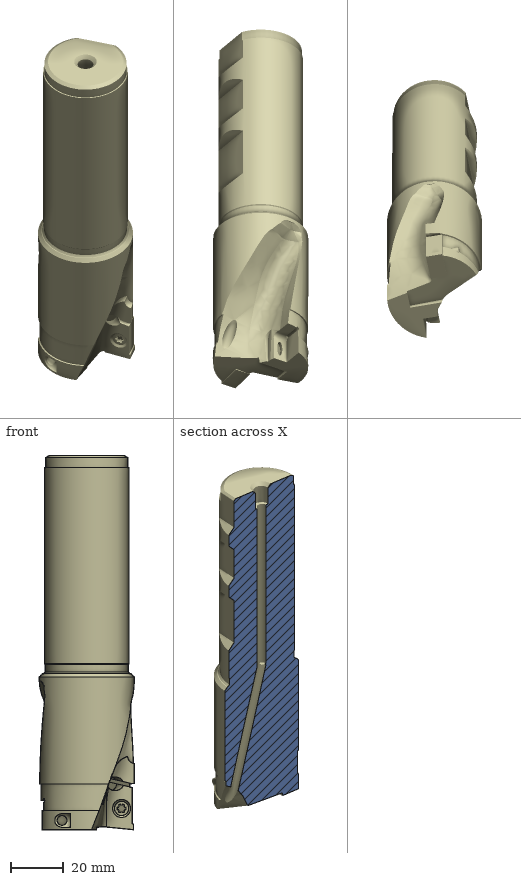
import cadquery as cq
import math

LENGTH = 141.4
BODY_RADIUS = 18.0
OVERCUT = 1.4
WAIST_RADIUS = 17.4
SHANK_RADIUS = 16.0
NECK_RADIUS = 15.7
PILOT_RADIUS = 15.5
SEAM_ANGLE = 90

WAIST_BOTTOM = 7.2
WAIST_TOP = 17.3
BODY_TOP = 59.0
BODY_CHAMFER = 1.3
NECK_FLARE = 0.7
SHANK_BOTTOM = 62.8
SHANK_CHAMFER = NECK_FLARE / 2
PILOT_LENGTH = 4.7
END_CHAMFER_HEIGHT = 0.8
END_CHAMFER_WIDTH = 1.4

FLAT_Y = 13.5
FLAT_BOTTOM = 77.5
LAND_CENTERS = (101.2, 123.9)
LAND_CREST = 5.0

BORE_RADIUS = 3.0
BORE_DEPTH = 8.5
BORE_MOUTH_RADIUS = 4.2
COOLANT_RADIUS = 2.1
COOLANT_X = -0.5
COOLANT_BEND = 62.2
COOLANT_EXIT = (0.7, 13.7, 10.2)

WIDE_FLUTE = [
    (-8.5, -0.7, 121, -3.4, -0.5, 13.5),
    (1.4, -0.8, 108, -3.7, -0.7, 12.2),
    (11.3, -1.1, 96, -4.2, -1.0, 10.9),
    (21.2, -2.5, 80, -4.8, -1.4, 8.9),
    (31.1, -4.4, 59, -5.2, -2.8, 7.8),
    (41.0, -6.5, 40, -7.4, -4.2, 7.0),
    (50.9, -8.5, 18.5, -12.0, -4.1, 6.2),
]
WIDE_RUNOUT = [
    (54.3, -7.9, 7.7, -15.3, -4.0, 2.8),
    (56.3, -4.8, 0, -17.4, -2.5, 0.5),
]
NARROW_FLUTE = [
    (-8.5, -0.7, 93, -5.7, -0.5, 2.1),
    (1.4, -0.7, 82.5, -6.2, -0.5, 2.1),
    (11.3, -1.1, 70, -7.0, -1.0, 2.8),
    (21.2, -2.5, 57, -7.0, -1.4, 5.0),
    (31.1, -4.4, 42, -6.8, -2.8, 6.4),
    (41.0, -6.2, 28, -10.2, -3.7, 5.7),
    (50.9, -6.5, 13, -14.7, -2.5, 3.4),
]
NARROW_RUNOUT = [
    (54.3, -5.1, 5.0, -16.7, -2.0, 1.4),
    (55.7, -3.4, 1.0, -17.5, -1.4, 0.4),
]
FLUTE_OVERSHOOT = 1.6

INSERT_THICKNESS = 6.2
INSERT_INNER_X = 7.5
INSERT_EDGE_X = 17.3
INSERT_TIP_X = 17.7
INSERT_TIP_HEIGHT = 2.3
INSERT_OUTER_TOP = 16.0
INSERT_INNER_TOP = 18.2
INSERT_GAP = 1.4
INSERT_BOTTOM_RISE = 1.0
OUTLET_X = 10.7
OUTLET_Z = 17.4
OUTLET_RADIUS = 2.5
OUTLET_DEPTH = 2.8
OUTLET_ANGLE = 55
SCREW_X = 13.2
SCREW_Z = 8.0
COUNTERSINK_RADIUS = 3.4
SCREW_HEAD_RADIUS = 2.7
SCREW_HEAD_TOP = COUNTERSINK_RADIUS - SCREW_HEAD_RADIUS
SCREW_RADIUS = 1.7
SCREW_LENGTH = 12.0
SOCKET_RADIUS = 1.3
SOCKET_LOBES = 6
SOCKET_LOBE_RADIUS = 0.4
SOCKET_DEPTH = 1.7

SEAT_INNER_POINT = (10.2, 22.0)
SEAT_CREST_BULGE = (12.5, 26.0)
SEAT_CREST = (15.4, 27.7)
SEAT_SHOULDER_BULGE = (16.4, 25.7)
SEAT_SHOULDER = (BODY_RADIUS, 25.0)

POCKET_INNER_X = 8.5
POCKET_DEPTH = 6.2
POCKET_HEIGHT = 11.0
POCKET_FILLET = 1.7
POCKET_CORNER_RELIEF = 0.7
POCKET_SLOT_Z = 5.1
POCKET_SLOT_WIDTH = 2.3
POCKET_SLOT_HEIGHT = 6.0
POCKET_SLOT_DEPTH = 1.4

GASH_INNER_X = 5.1
GASH_WIDTH = 5.4
GASH_HEIGHT = 13.6
GASH_FILLET = 4.2

RECESS_RADIUS = 2.7
RECESS_X = -6.2
RECESS_Y = -16.0
RECESS_Z = 3.5
RECESS_HOLE_X = -9.3
RECESS_HOLE_RADIUS = 1.8
RECESS_HOLE_DEPTH = 5.7

END_RELIEF_RISE = 3.1
END_RELIEF_REACH = 28.3
END_RELIEF_TURN = -26
END_RELIEF_LEFT = -2.8
END_RELIEF_FRONT = -9.9


def unit(vector):
    size = math.hypot(*vector)
    return (vector[0] / size, vector[1] / size)


def turned_blank():
    pilot_bottom = LENGTH - PILOT_LENGTH
    outline = [
        (0, 0),
        (BODY_RADIUS, 0),
        (BODY_RADIUS, WAIST_BOTTOM),
        (WAIST_RADIUS, WAIST_BOTTOM),
        (WAIST_RADIUS, WAIST_TOP),
        (BODY_RADIUS, WAIST_TOP),
        (BODY_RADIUS, BODY_TOP - BODY_CHAMFER),
        (BODY_RADIUS - BODY_CHAMFER, BODY_TOP),
        (NECK_RADIUS + NECK_FLARE, BODY_TOP),
        (NECK_RADIUS, BODY_TOP + NECK_FLARE),
        (NECK_RADIUS, SHANK_BOTTOM - SHANK_CHAMFER),
        (SHANK_RADIUS, SHANK_BOTTOM),
        (SHANK_RADIUS, pilot_bottom),
        (PILOT_RADIUS, pilot_bottom),
        (PILOT_RADIUS, LENGTH - END_CHAMFER_HEIGHT),
        (PILOT_RADIUS - END_CHAMFER_WIDTH, LENGTH),
        (0, LENGTH),
    ]
    blank = cq.Workplane("XZ").polyline(outline).close().revolve(360, (0, 0, 0), (0, 1, 0))
    return blank.rotate((0, 0, 0), (0, 0, 1), SEAM_ANGLE)


def clamping_flat():
    """Material above the flat, with 45 degree flanks on each standing land."""
    depth = SHANK_RADIUS - FLAT_Y
    chamfer_y = FLAT_Y - END_CHAMFER_HEIGHT
    outline = [(SHANK_RADIUS, FLAT_BOTTOM - depth), (FLAT_Y, FLAT_BOTTOM)]
    for center in LAND_CENTERS:
        crest = LAND_CREST / 2
        outline += [
            (FLAT_Y, center - crest - depth),
            (SHANK_RADIUS, center - crest),
            (SHANK_RADIUS, center + crest),
            (FLAT_Y, center + crest + depth),
        ]
    outline += [
        (FLAT_Y, LENGTH - END_CHAMFER_HEIGHT),
        (chamfer_y, LENGTH),
        (BODY_RADIUS, LENGTH),
        (BODY_RADIUS, FLAT_BOTTOM - depth),
    ]
    return cq.Workplane("YZ").polyline(outline).close().extrude(BODY_RADIUS, both=True)


def coolant_bore():
    mouth = BORE_MOUTH_RADIUS - BORE_RADIUS
    outline = [
        (0, LENGTH),
        (BORE_MOUTH_RADIUS, LENGTH),
        (BORE_RADIUS, LENGTH - mouth),
        (BORE_RADIUS, LENGTH - BORE_DEPTH),
        (0, LENGTH - BORE_DEPTH),
    ]
    bore = cq.Workplane("XZ").polyline(outline).close().revolve(360, (0, 0, 0), (0, 1, 0))
    bend = cq.Vector(COOLANT_X, 0, COOLANT_BEND)
    branch = cq.Solid.makeCylinder(COOLANT_RADIUS, LENGTH, bend, cq.Vector(*COOLANT_EXIT) - bend)
    trunk = cq.Solid.makeCylinder(COOLANT_RADIUS, LENGTH - COOLANT_BEND - BORE_DEPTH / 2, bend)
    return bore.union(cq.Workplane(trunk)).union(cq.Workplane(branch))


def flute_section(z, rake_y, wall_angle, corner_x, corner_y, corner_radius):
    """Closed wire: rake line, round corner and wall line, closed outside the body."""
    wall_turn = math.radians(wall_angle)
    rake_edge = (-math.sqrt(BODY_RADIUS**2 - rake_y**2), rake_y)
    wall_edge = (-BODY_RADIUS * math.cos(wall_turn), BODY_RADIUS * math.sin(wall_turn))
    corner = (corner_x, corner_y)
    to_rake = (rake_edge[0] - corner_x, rake_edge[1] - corner_y)
    to_wall = (wall_edge[0] - corner_x, wall_edge[1] - corner_y)
    rake_unit = unit(to_rake)
    wall_unit = unit(to_wall)
    bisector = unit((rake_unit[0] + wall_unit[0], rake_unit[1] + wall_unit[1]))
    half_angle = math.acos(rake_unit[0] * bisector[0] + rake_unit[1] * bisector[1])
    setback = corner_radius / math.tan(half_angle)
    arc_middle = corner_radius / math.sin(half_angle) - corner_radius

    def from_corner(direction, distance):
        return (corner[0] + direction[0] * distance, corner[1] + direction[1] * distance)

    side = FLUTE_OVERSHOOT * BODY_RADIUS
    return (
        cq.Workplane("XY", origin=(0, 0, z))
        .moveTo(*from_corner(rake_unit, side))
        .lineTo(*from_corner(rake_unit, setback))
        .threePointArc(from_corner(bisector, arc_middle), from_corner(wall_unit, setback))
        .lineTo(*from_corner(wall_unit, side))
        .lineTo(*from_corner(bisector, 2 * side))
        .close()
        .val()
    )


def flute(stations, runout_stations):
    """Smooth sweep of the sections, then a straight-sided runout to the body surface."""
    main = [flute_section(*station) for station in stations]
    runout = [flute_section(*station) for station in stations[-1:] + runout_stations]
    return [cq.Workplane(cq.Solid.makeLoft(main)), cq.Workplane(cq.Solid.makeLoft(runout, True))]


def insert_seat():
    """Flat-faced block at Y >= 0 that the narrow flute leaves standing around the insert."""
    outer_x = 2 * BODY_RADIUS
    return (
        cq.Workplane("XZ")
        .moveTo(INSERT_INNER_X, -OVERCUT)
        .lineTo(INSERT_INNER_X, WAIST_TOP)
        .lineTo(*SEAT_INNER_POINT)
        .threePointArc(SEAT_CREST_BULGE, SEAT_CREST)
        .threePointArc(SEAT_SHOULDER_BULGE, SEAT_SHOULDER)
        .lineTo(outer_x, SEAT_SHOULDER[1])
        .lineTo(outer_x, -OVERCUT)
        .close()
        .extrude(-BODY_RADIUS)
    )


def insert_blank():
    """Insert outline, front face at Y = 0, sloping down to its tip and to its outer top corner."""
    outline = [
        (INSERT_INNER_X, INSERT_BOTTOM_RISE),
        (INSERT_TIP_X, 0),
        (INSERT_TIP_X, INSERT_TIP_HEIGHT),
        (INSERT_EDGE_X, INSERT_TIP_HEIGHT),
        (INSERT_EDGE_X, INSERT_OUTER_TOP),
        (INSERT_INNER_X, INSERT_INNER_TOP),
    ]
    return cq.Workplane("XZ").polyline(outline).close().extrude(-INSERT_THICKNESS)


def insert_pocket():
    """Recess behind the insert, open at the bottom and outside, with a gap above the insert."""
    outline = [
        (INSERT_INNER_X, -OVERCUT),
        (2 * BODY_RADIUS, -OVERCUT),
        (2 * BODY_RADIUS, INSERT_OUTER_TOP + INSERT_GAP),
        (INSERT_EDGE_X, INSERT_OUTER_TOP + INSERT_GAP),
        (INSERT_INNER_X, INSERT_INNER_TOP + INSERT_GAP),
    ]
    return cq.Workplane("XZ").polyline(outline).close().extrude(-INSERT_THICKNESS)


def coolant_outlet():
    """Level flat-ended hole that breaks out through the seat at the insert's inner top corner."""
    turn = math.radians(OUTLET_ANGLE)
    aim = cq.Vector(math.cos(turn), -math.sin(turn), 0)
    start = cq.Vector(OUTLET_X, 0, OUTLET_Z) - aim * OUTLET_DEPTH
    return cq.Workplane(cq.Solid.makeCylinder(OUTLET_RADIUS, BODY_RADIUS, start, aim))


def screw_blank():
    """Countersunk screw along Y with its head just below the insert face."""
    head_bottom = SCREW_HEAD_TOP + SCREW_HEAD_RADIUS - SCREW_RADIUS
    outline = [
        (0, SCREW_HEAD_TOP),
        (SCREW_HEAD_RADIUS, SCREW_HEAD_TOP),
        (SCREW_RADIUS, head_bottom),
        (SCREW_RADIUS, SCREW_LENGTH),
        (0, SCREW_LENGTH),
    ]
    blank = cq.Workplane("XY").polyline(outline).close().revolve(360, (0, 0, 0), (0, 1, 0))
    return blank.translate((SCREW_X, 0, SCREW_Z))


def countersink():
    cone = cq.Solid.makeCone(
        COUNTERSINK_RADIUS, 0, COUNTERSINK_RADIUS, cq.Vector(SCREW_X, 0, SCREW_Z), cq.Vector(0, 1, 0)
    )
    return cq.Workplane(cone)


def empty_pocket():
    pocket = (
        cq.Workplane("XY")
        .box(BODY_RADIUS, 2 * POCKET_DEPTH, POCKET_HEIGHT + OVERCUT, centered=False)
        .translate((-POCKET_INNER_X - BODY_RADIUS, -POCKET_DEPTH, -OVERCUT))
        .edges(">X and >Z")
        .fillet(POCKET_FILLET)
    )
    wall = cq.Workplane("YZ", origin=(-POCKET_INNER_X, -POCKET_DEPTH / 2, POCKET_SLOT_Z))
    slot = wall.ellipse(POCKET_SLOT_WIDTH / 2, POCKET_SLOT_HEIGHT / 2).extrude(POCKET_SLOT_DEPTH)
    corner = cq.Workplane("YZ", origin=(-POCKET_INNER_X, -POCKET_DEPTH, POCKET_HEIGHT))
    return pocket.union(slot).union(corner.circle(POCKET_CORNER_RELIEF).extrude(-BODY_RADIUS))


def chip_gash():
    return (
        cq.Workplane("XY")
        .box(BODY_RADIUS, GASH_WIDTH, GASH_HEIGHT + OVERCUT, centered=False)
        .translate((-GASH_INNER_X - BODY_RADIUS, 0, -OVERCUT))
        .edges(">X and >Z")
        .fillet(GASH_FILLET)
    )


def access_recess():
    """Round channel running out to -X, with a narrower flat-bottomed hole along Y in it."""
    channel = (
        cq.Workplane("YZ", origin=(RECESS_X, RECESS_Y, RECESS_Z))
        .circle(RECESS_RADIUS)
        .extrude(-BODY_RADIUS)
    )
    hole = (
        cq.Workplane("XZ", origin=(RECESS_HOLE_X, RECESS_Y, RECESS_Z))
        .circle(RECESS_HOLE_RADIUS)
        .extrude(-RECESS_HOLE_DEPTH)
    )
    return channel.union(hole)


def end_relief():
    """Shallow wedge behind the insert that lifts the end face towards the wide flute's wall."""
    outline = [
        (0, 0),
        (-END_RELIEF_REACH, END_RELIEF_RISE),
        (-END_RELIEF_REACH, -OVERCUT),
        (0, -OVERCUT),
    ]
    wedge = (
        cq.Workplane("XZ")
        .polyline(outline)
        .close()
        .extrude(2 * BODY_RADIUS, both=True)
        .rotate((0, 0, 0), (0, 0, 1), END_RELIEF_TURN)
        .translate((INSERT_TIP_X, 0, 0))
    )
    width = 2 * BODY_RADIUS
    extent = cq.Workplane("XY").box(width, width, width, centered=(False, False, True))
    return wedge.intersect(extent.translate((END_RELIEF_LEFT, END_RELIEF_FRONT, 0)))


def build_holder(screw):
    body = turned_blank().cut(clamping_flat()).cut(coolant_bore())
    for cutter in flute(WIDE_FLUTE, WIDE_RUNOUT):
        body = body.cut(cutter)
    for cutter in flute(NARROW_FLUTE, NARROW_RUNOUT):
        body = body.cut(cutter.rotate((0, 0, 0), (0, 0, 1), 180).cut(insert_seat()))
    body = body.cut(chip_gash()).cut(empty_pocket()).cut(access_recess()).cut(end_relief())
    return body.cut(coolant_outlet()).cut(insert_pocket()).cut(screw)


def build_screw():
    socket_plane = cq.Workplane("XZ", origin=(SCREW_X, 0, SCREW_Z))
    depth = SCREW_HEAD_TOP + SOCKET_DEPTH
    core = socket_plane.circle(SOCKET_RADIUS).extrude(-depth)
    lobes = socket_plane.polarArray(SOCKET_RADIUS, 0, 360, SOCKET_LOBES).circle(SOCKET_LOBE_RADIUS)
    return screw_blank().cut(core.union(lobes.extrude(-depth)))


insert = insert_blank().cut(countersink()).cut(screw_blank()).cut(coolant_outlet())
screw = build_screw()
holder = build_holder(screw_blank())

result = cq.Compound.makeCompound([*holder.vals(), insert.val(), screw.val()])